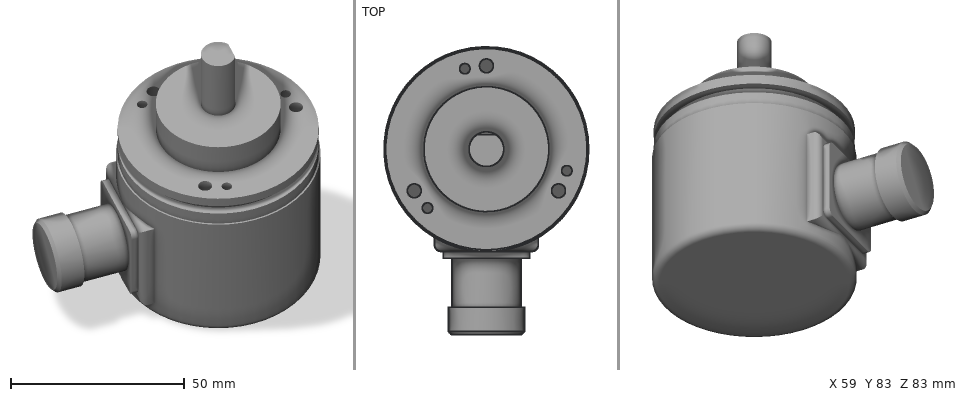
import cadquery as cq
import math

body_radius = 29.5
body_height = 43.0
bottom_edge_radius = 2.0
flange_radius = 29.0
lower_flange_thickness = 4.0
groove_radius = 26.5
groove_width = 3.0
upper_flange_thickness = 3.0
hub_radius = 18.0
hub_height = 10.0

groove_bottom_z = body_height + lower_flange_thickness
groove_top_z = groove_bottom_z + groove_width
flange_top_z = groove_top_z + upper_flange_thickness
hub_top_z = flange_top_z + hub_height

shaft_radius = 5.0
shaft_length = 20.0
flat_offset = 4.15
runout_radius = 1.2
runout_start_gap = 0.75
shaft_top_z = hub_top_z + shaft_length

hole_circle_radius = 24.0
hole_count = 3
hole_depth = 10.0
large_hole_diameter = 4.0
large_hole_start_angle = 90.0
small_hole_diameter = 3.0
small_hole_start_angle = large_hole_start_angle + 15.0

connector_z = 20.0
pad_size = 30.0
pad_face_distance = body_radius
pad_edge_radius = 2.0
plate_size = 25.0
plate_thickness = 2.0
plate_corner_radius = 2.0
barrel_radius = 10.0
barrel_length = 14.0
collar_radius = 11.0
collar_length = 8.0
collar_chamfer = 1.0


def disc(radius, bottom_z, top_z):
    """Vertical cylinder on the main axis."""
    return cq.Workplane("XY").workplane(offset=bottom_z).circle(radius).extrude(top_z - bottom_z)


def connector_plane(distance):
    """Workplane facing -Y, centred on the connector axis at a distance from the body axis."""
    return cq.Workplane("XZ", origin=(0, -distance, connector_z))


def make_housing():
    body = disc(body_radius, 0, body_height).faces("<Z").edges().fillet(bottom_edge_radius)
    lower_flange = disc(flange_radius, body_height, groove_bottom_z)
    groove_core = disc(groove_radius, groove_bottom_z, groove_top_z)
    upper_flange = disc(flange_radius, groove_top_z, flange_top_z)
    hub = disc(hub_radius, flange_top_z, hub_top_z)
    return body.union(lower_flange).union(groove_core).union(upper_flange).union(hub)


def make_shaft():
    shaft = disc(shaft_radius, hub_top_z, shaft_top_z)
    runout_depth = shaft_radius - flat_offset
    end_turn = math.acos(1 - runout_depth / runout_radius)
    half_turn = end_turn / 2
    runout_bottom_z = hub_top_z + runout_start_gap
    runout_top_z = runout_bottom_z + runout_radius * math.sin(end_turn)
    runout_middle = (
        flat_offset + runout_radius * (1 - math.cos(half_turn)),
        runout_top_z - runout_radius * math.sin(half_turn),
    )
    flat_cut = (
        cq.Workplane("YZ")
        .moveTo(flat_offset, shaft_top_z)
        .lineTo(flat_offset, runout_top_z)
        .threePointArc(runout_middle, (shaft_radius, runout_bottom_z))
        .lineTo(shaft_radius, shaft_top_z)
        .close()
        .extrude(shaft_radius, both=True)
    )
    return shaft.cut(flat_cut)


def make_holes(diameter, start_angle):
    return (
        cq.Workplane("XY")
        .workplane(offset=flange_top_z - hole_depth)
        .polarArray(hole_circle_radius, start_angle, 360, hole_count)
        .circle(diameter / 2)
        .extrude(hole_depth)
    )


def make_connector():
    pad = (
        connector_plane(0)
        .rect(pad_size, pad_size)
        .extrude(pad_face_distance)
        .faces("<Y")
        .edges()
        .fillet(pad_edge_radius)
    )
    plate = (
        connector_plane(pad_face_distance)
        .rect(plate_size, plate_size)
        .extrude(plate_thickness)
        .edges("|Y")
        .fillet(plate_corner_radius)
    )
    barrel_start = pad_face_distance + plate_thickness
    barrel = connector_plane(barrel_start).circle(barrel_radius).extrude(barrel_length)
    collar = (
        connector_plane(barrel_start + barrel_length)
        .circle(collar_radius)
        .extrude(collar_length)
        .faces("<Y")
        .edges()
        .chamfer(collar_chamfer)
    )
    return pad.union(plate).union(barrel).union(collar)


result = (
    make_housing()
    .union(make_shaft())
    .union(make_connector())
    .cut(make_holes(large_hole_diameter, large_hole_start_angle))
    .cut(make_holes(small_hole_diameter, small_hole_start_angle))
)